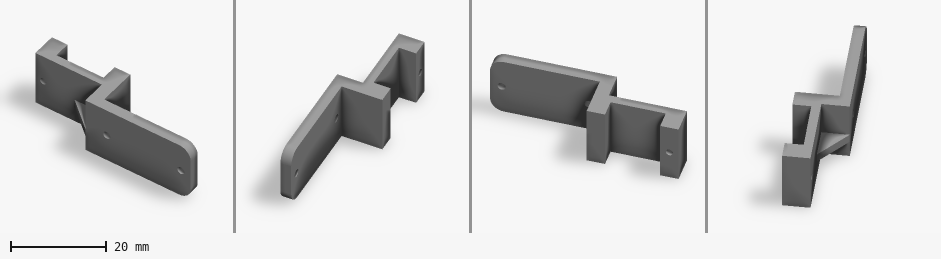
import cadquery as cq

length = 44.1
depth = 12.0
height = 14.0

plate_thickness = 2.5
channel_front = 6.0
web_thickness = 2.0
post_width = 4.0
channel_gap = 12.1
step_x = 17.05
channel_floor = channel_front + web_thickness
inner_post_start = post_width + channel_gap
inner_post_end = inner_post_start + post_width

corner_radius = 3.0

rib_length = 7.0
rib_bottom = 4.0
rib_thickness = 2.0

post_hole_x = post_width / 2
post_hole_diameter = 1.6
plate_hole_xs = (22.6, 41.6)
plate_hole_diameter = 1.8


def make_body():
    """Extrude the stepped channel and plate, then round the plate end."""
    outline = [
        (0, channel_front),
        (step_x, channel_front),
        (step_x, 0),
        (length, 0),
        (length, plate_thickness),
        (inner_post_end, plate_thickness),
        (inner_post_end, depth),
        (inner_post_start, depth),
        (inner_post_start, channel_floor),
        (post_width, channel_floor),
        (post_width, depth),
        (0, depth),
    ]
    body = cq.Workplane("XY").polyline(outline).close().extrude(height)
    return body.faces(">X").edges("|Y").fillet(corner_radius)


def make_rib():
    """Triangular rib bracing the step to the channel front."""
    corners = [
        (step_x - rib_length, channel_front),
        (step_x, 0),
        (step_x, channel_front),
    ]
    plane = cq.Workplane("XY").workplane(offset=rib_bottom)
    return plane.polyline(corners).close().extrude(rib_thickness)


def make_hole(x, diameter):
    """Cylinder along Y, at mid height, reaching through the full depth."""
    plane = cq.Workplane("XZ").center(x, height / 2)
    return plane.circle(diameter / 2).extrude(-depth)


result = make_body().union(make_rib())
result = result.cut(make_hole(post_hole_x, post_hole_diameter))
for hole_x in plate_hole_xs:
    result = result.cut(make_hole(hole_x, plate_hole_diameter))